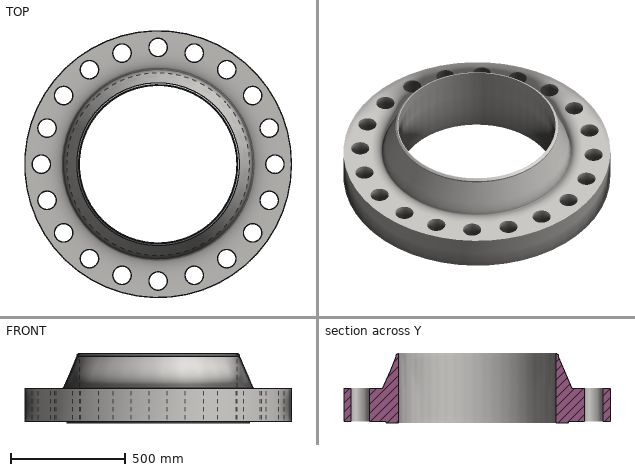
import cadquery as cq


flange_diameter = 1168.0
flange_thickness = 146.0
raised_face_diameter = 800.0
raised_face_height = 6.0
bore_diameter = 689.0

hub_base_diameter = 832.0
hub_root_radius = 6.0
overall_height = 305.0

weld_end_diameter = 713.0
weld_end_length = 14.0
bevel_height = 7.0
root_land_width = 4.0

bolt_hole_count = 20
bolt_hole_diameter = 80.0
bolt_circle_diameter = 1022.0

flange_top = raised_face_height + flange_thickness
bore_radius = bore_diameter / 2
flange_radius = flange_diameter / 2
raised_face_radius = raised_face_diameter / 2
hub_base_radius = hub_base_diameter / 2
weld_end_radius = weld_end_diameter / 2


def make_plate():
    """Flange disc standing on its raised sealing face."""
    raised_face = cq.Workplane("XY").circle(raised_face_radius).extrude(raised_face_height)
    disc = (
        cq.Workplane("XY")
        .workplane(offset=raised_face_height)
        .circle(flange_radius)
        .extrude(flange_thickness)
    )
    return raised_face.union(disc)


def make_hub():
    """Revolved hub: cone, short cylindrical weld end, then the weld bevel."""
    profile = (
        cq.Workplane("XZ")
        .moveTo(0, flange_top)
        .lineTo(hub_base_radius, flange_top)
        .lineTo(weld_end_radius, overall_height - weld_end_length)
        .lineTo(weld_end_radius, overall_height - bevel_height)
        .lineTo(bore_radius + root_land_width, overall_height)
        .lineTo(0, overall_height)
        .close()
    )
    return profile.revolve(360, (0, 0, 0), (0, 1, 0))


def round_hub_root(body):
    """Fillet the circle where the hub cone meets the flange top."""
    flange_top_zone = cq.selectors.BoxSelector(
        (-flange_radius, -flange_radius, flange_top - hub_root_radius),
        (flange_radius, flange_radius, flange_top + hub_root_radius),
    )
    root_edge = body.edges(flange_top_zone).edges(cq.selectors.RadiusNthSelector(0))
    return root_edge.fillet(hub_root_radius)


def cut_bore(body):
    """Through bore along Z."""
    return body.cut(cq.Workplane("XY").circle(bore_radius).extrude(overall_height))


def cut_bolt_holes(body):
    """Ring of equally spaced through holes in the flange plate."""
    holes = (
        cq.Workplane("XY")
        .polarArray(bolt_circle_diameter / 2, 0, 360, bolt_hole_count)
        .circle(bolt_hole_diameter / 2)
        .extrude(flange_top)
    )
    return body.cut(holes)


flange = make_plate().union(make_hub())
flange = round_hub_root(flange)
flange = cut_bore(flange)
result = cut_bolt_holes(flange)